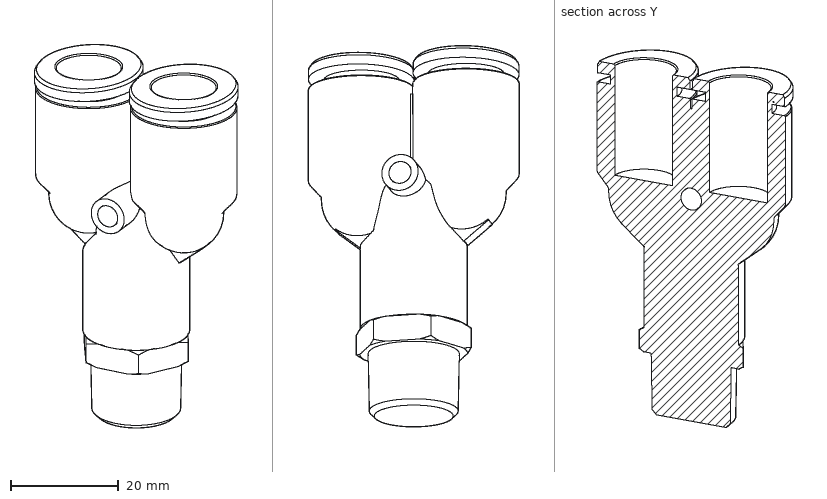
import cadquery as cq
import math


total_height = 67.9
stem_radius = 10.0
branch_offset = stem_radius
body_radius = 9.9
shoulder_round = 0.8

thread_length = 12.0
thread_root_radius = 8.5
thread_end_radius = 8.3
thread_tip_radius = 7.3
thread_chamfer = 0.95

hex_across_flats = 19.0
hex_height = 4.8
hex_face_radius = 10.05
hex_chamfer_height = 0.55
hex_corner_diameter = hex_across_flats / math.cos(math.radians(30))
hex_top = thread_length + hex_height

stem_top = 32.8
core_radius = 7.5
core_shoulder = 35.7
dome_center = 39.8

body_top = 63.8
body_bottom = 46.0
ball_radius = 7.5
ball_center = 42.4
branch_cone_bottom = 43.2
body_top_bevel = 0.2

collar_half_x = 9.8
collar_half_y = 11.3
collar_bottom = 65.5
collar_bevel_height = 0.6
collar_bevel_width = 0.4
neck_radius = 7.05
socket_radius = 6.05
socket_chamfer = 0.3
socket_depth = total_height - body_bottom

web_thickness = 3.25
web_top = 61.85

cross_radius = 3.45
cross_hole_radius = 2.1
cross_length = 22.7
cross_height = 43.9
height_tolerance = 0.01


def revolved(profile):
    """Revolve an (r, z) profile about the Z axis."""
    return cq.Workplane("XZ").polyline(profile).close().revolve(360, (0, 0, 0), (0, 1, 0))


def revolve_with_rounded_shoulder(profile, first_height, second_height):
    """Revolve a profile and round the circles at the two ends of its conical shoulder."""
    solid = profile.revolve(360, (0, 0, 0), (0, 1, 0))

    def is_shoulder_end(edge):
        box = edge.BoundingBox()
        offsets = [abs(box.center.z - height) for height in (first_height, second_height)]
        return box.zlen < height_tolerance and min(offsets) < height_tolerance

    return solid.edges("%CIRCLE").filter(is_shoulder_end).fillet(shoulder_round)


def thread_end():
    return revolved([
        (0, 0),
        (thread_tip_radius, 0),
        (thread_end_radius, thread_chamfer),
        (thread_root_radius, thread_length),
        (0, thread_length),
    ])


def hexagon():
    """Hexagon with corners on the X axis, its corners beveled at both faces."""
    prism = (
        cq.Workplane("XY", origin=(0, 0, thread_length))
        .polygon(6, hex_corner_diameter)
        .extrude(hex_height)
    )
    corner_radius = hex_corner_diameter / 2
    bevel = revolved([
        (0, thread_length),
        (hex_face_radius, thread_length),
        (corner_radius, thread_length + hex_chamfer_height),
        (corner_radius, hex_top - hex_chamfer_height),
        (hex_face_radius, hex_top),
        (0, hex_top),
    ])
    return prism.intersect(bevel)


def stem():
    profile = (
        cq.Workplane("XZ")
        .moveTo(0, hex_top)
        .lineTo(stem_radius, hex_top)
        .lineTo(stem_radius, stem_top)
        .lineTo(core_radius, core_shoulder)
        .lineTo(core_radius, dome_center)
        .radiusArc((0, dome_center + core_radius), -core_radius)
        .close()
    )
    return revolve_with_rounded_shoulder(profile, core_shoulder, stem_top)


def branch_body():
    profile = (
        cq.Workplane("XZ")
        .moveTo(0, body_top)
        .lineTo(body_radius - body_top_bevel, body_top)
        .lineTo(body_radius, body_top - body_top_bevel)
        .lineTo(body_radius, body_bottom)
        .lineTo(ball_radius, branch_cone_bottom)
        .lineTo(ball_radius, ball_center)
        .radiusArc((0, ball_center - ball_radius), ball_radius)
        .close()
    )
    return revolve_with_rounded_shoulder(profile, branch_cone_bottom, body_bottom)


def collar():
    neck = (
        cq.Workplane("XY", origin=(0, 0, body_top))
        .circle(neck_radius)
        .extrude(collar_bottom - body_top)
    )
    flange = (
        cq.Workplane("XY", origin=(0, 0, collar_bottom))
        .ellipse(collar_half_x, collar_half_y)
        .extrude(total_height - collar_bottom)
        .faces(">Z").edges()
        .chamfer(collar_bevel_height, collar_bevel_width)
    )
    return neck.union(flange)


def socket():
    mouth_radius = socket_radius + socket_chamfer
    floor = total_height - socket_depth
    return revolved([
        (0, floor),
        (socket_radius, floor),
        (socket_radius, total_height - socket_chamfer),
        (mouth_radius, total_height),
        (0, total_height),
    ])


def web():
    """Plate in the XZ plane that ties the branches to the stem.

    Its slanted edges run from the top of the stem to touch the balls tangentially.
    """
    touch_angle = math.acos(ball_radius / (ball_center - stem_top))
    touch_x = branch_offset + ball_radius * math.sin(touch_angle)
    touch_z = ball_center - ball_radius * math.cos(touch_angle)
    half_plate = (
        cq.Workplane("XZ")
        .moveTo(0, stem_top)
        .lineTo(stem_radius, stem_top)
        .lineTo(touch_x, touch_z)
        .lineTo(branch_offset, ball_center)
        .lineTo(branch_offset, web_top)
        .lineTo(0, web_top)
        .close()
        .extrude(web_thickness / 2, both=True)
    )
    return half_plate.union(half_plate.mirror("YZ"))


def cross_cylinder(radius):
    return (
        cq.Workplane("XZ", origin=(0, 0, cross_height))
        .circle(radius)
        .extrude(cross_length / 2, both=True)
    )


def branch():
    return branch_body().union(collar()).cut(socket())


result = thread_end().union(hexagon()).union(stem()).union(web())
for branch_x in (-branch_offset, branch_offset):
    position = (branch_x, 0, 0)
    result = result.cut(socket().translate(position)).union(branch().translate(position))

result = result.union(cross_cylinder(cross_radius)).cut(cross_cylinder(cross_hole_radius))